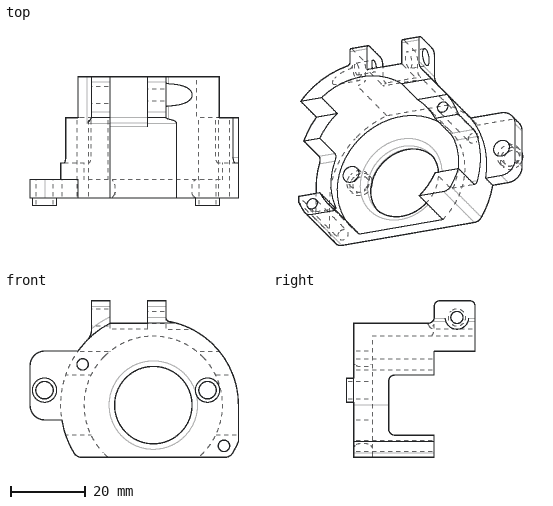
import cadquery as cq
import math


left_radius = 24.8
right_radius = 22.8
base_z = -14.0
flat_top_z = 21.94
base_corner_radius = 2.4
body_depth = 21.5
total_depth = 32.5
tail_bottom_z = 14.4

wall_thickness = 5.0
bore_radius = 20.67 / 2
bore_rim_radius = 1.5
cavity_radius = 18.5

window_front_y = 9.4
window_half_height = 8.0
window_corner_radius = 1.5

flange_left_x = -33.0
flange_bottom_z = -4.0
flange_top_z = 14.5
flange_corner_radius = 4.0

pin_spacing = 43.6
pin_middle_x = -7.3
pin_z = 4.0
pin_diameter = 6.5
pin_length = 2.0
pin_hole_diameter = 4.6
small_hole_diameter = 3.0
small_hole_x = 18.9
small_hole_z = 10.9

lug_width = 5.0
lug_gap = 10.0
lug_height = 6.0
lug_top_z = flat_top_z + lug_height
lug_corner_radius = 1.5
lug_root_radius = 1.5
lug_overlap = 1.0
left_flare_radius = 4.0
right_flare_radius = 0.8
lug_hole_y = 27.6
lug_hole_z = 23.44
left_lug_hole_diameter = 4.6
right_lug_hole_diameter = 3.2
screw_head_diameter = 6.3

slot_floor_z = 20.35
slot_inner_radius = 1.5
slot_edge_radius = 1.0


def on_circle(radius, offset):
    """Other coordinate of a point on a bore-centred circle, given one coordinate."""
    return math.sqrt(radius**2 - offset**2)


flat_left_x = -on_circle(left_radius, flat_top_z)
slot_left_x = flat_left_x
slot_right_x = slot_left_x + lug_gap
left_lug_x = slot_left_x - lug_width
right_lug_x = slot_right_x + lug_width
pin_xs = [pin_middle_x - pin_spacing / 2, pin_middle_x + pin_spacing / 2]

far = 2 * total_depth


def box(x0, x1, y0, y1, z0, z1):
    return cq.Workplane("XY").box(x1 - x0, y1 - y0, z1 - z0, centered=False).translate((x0, y0, z0))


def along_y(profile, y0, y1):
    """Extrude a profile drawn in X and Z from y0 to y1."""
    return profile.extrude(y0 - y1).translate((0, y0, 0))


def cylinder_y(x, z, radius, y0, y1):
    return along_y(cq.Workplane("XZ").center(x, z).circle(radius), y0, y1)


def cylinder_x(y, z, radius, x0, x1):
    return cq.Workplane("YZ").center(y, z).circle(radius).extrude(x1 - x0).translate((x0, 0, 0))


def make_lower_body():
    """Body below the bore axis: round flanks, a straight right side and a flat base."""
    disc = cylinder_y(0, 0, left_radius, 0, body_depth)
    blank = disc.intersect(box(-far, right_radius, 0, body_depth, base_z, 0))
    return blank.faces("<Z").edges("|Y").fillet(base_corner_radius)


def make_upper_body():
    """Crown of the body and its narrower tail, left and right with different radii."""
    left = cylinder_y(0, 0, left_radius, 0, total_depth).intersect(box(-far, 0, 0, far, 0, far))
    right = cylinder_y(0, 0, right_radius, 0, total_depth).intersect(box(0, far, 0, far, 0, far))
    below_tail = box(-far, far, body_depth, far, -far, tail_bottom_z)
    return left.union(right).cut(below_tail)


def front_clearance_profile(floor):
    """Y-Z region ahead of the lugs and above a floor, rounded where it meets the lug roots."""
    return (
        cq.Workplane("YZ")
        .moveTo(0, floor)
        .lineTo(body_depth - lug_root_radius, floor)
        .radiusArc((body_depth, floor + lug_root_radius), -lug_root_radius)
        .lineTo(body_depth, far)
        .lineTo(0, far)
        .close()
    )


def make_flat_clearance():
    """Clears the flat top ahead of the lugs."""
    profile = front_clearance_profile(flat_top_z)
    return profile.extrude(far).translate((flat_left_x, 0, 0))


def make_round_clearance():
    """Clears the round left shoulder ahead of the left lug."""
    return front_clearance_profile(left_radius).revolve(360, (0, 0, 0), (1, 0, 0))


def make_lug(inner_x, outer_x, crown_radius, flare_radius):
    """Lug on the +X side whose outer face flares into the round crown."""
    flare_x = outer_x + flare_radius
    flare_z = on_circle(crown_radius + flare_radius, flare_x)
    toe_scale = crown_radius / (crown_radius + flare_radius)
    toe_x = flare_x * toe_scale
    toe_z = flare_z * toe_scale
    profile = (
        cq.Workplane("XZ")
        .moveTo(inner_x, lug_top_z)
        .lineTo(outer_x, lug_top_z)
        .lineTo(outer_x, flare_z)
        .radiusArc((toe_x, toe_z), -flare_radius)
        .lineTo(inner_x, on_circle(crown_radius, outer_x) - lug_overlap)
        .close()
    )
    return along_y(profile, body_depth - lug_root_radius, total_depth)


def round_lug_top(lug):
    return lug.faces(">Z").edges("|X").fillet(lug_corner_radius)


def make_slot():
    """Floor between the lugs with a rounded rise up to the flat top."""
    rise_angle = math.acos(1 - (flat_top_z - slot_floor_z) / (slot_inner_radius + slot_edge_radius))
    joint_y = body_depth - slot_inner_radius * math.sin(rise_angle)
    joint_z = slot_floor_z + slot_inner_radius * (1 - math.cos(rise_angle))
    edge_y = joint_y - slot_edge_radius * math.sin(rise_angle)
    profile = (
        cq.Workplane("YZ")
        .moveTo(edge_y, flat_top_z)
        .radiusArc((joint_y, joint_z), slot_edge_radius)
        .radiusArc((body_depth, slot_floor_z), -slot_inner_radius)
        .lineTo(far, slot_floor_z)
        .lineTo(far, far)
        .lineTo(edge_y, far)
        .close()
    )
    return profile.extrude(lug_gap).translate((slot_left_x, 0, 0))


def make_flange():
    flange = box(flange_left_x, 0, 0, wall_thickness, flange_bottom_z, flange_top_z)
    return flange.edges("|Y and <X").fillet(flange_corner_radius)


def make_bore():
    """Bore through the front wall with both rims rounded."""
    rim_radius = bore_radius + bore_rim_radius
    profile = (
        cq.Workplane("XY")
        .lineTo(rim_radius, 0)
        .radiusArc((bore_radius, bore_rim_radius), bore_rim_radius)
        .lineTo(bore_radius, wall_thickness - bore_rim_radius)
        .radiusArc((rim_radius, wall_thickness), bore_rim_radius)
        .lineTo(0, wall_thickness)
        .close()
    )
    return profile.revolve(360, (0, 0, 0), (0, 1, 0))


def make_side_window():
    window = box(-far, far, window_front_y, far, -window_half_height, window_half_height)
    return window.edges("|X and <Y").fillet(window_corner_radius)


left_lug = make_lug(-slot_left_x, -left_lug_x, left_radius, left_flare_radius).mirror("YZ")
left_lug = round_lug_top(left_lug.cut(make_round_clearance()))
flat_clearance = make_flat_clearance()
right_lug = make_lug(slot_right_x, right_lug_x, right_radius, right_flare_radius)
right_lug = round_lug_top(right_lug.cut(flat_clearance))

result = make_upper_body().cut(flat_clearance).union(make_lower_body())
result = result.union(left_lug).union(right_lug).union(make_flange())
for pin_x in pin_xs:
    result = result.union(cylinder_y(pin_x, pin_z, pin_diameter / 2, -pin_length, wall_thickness))

result = result.cut(cylinder_y(0, 0, cavity_radius, wall_thickness, far))
result = result.cut(make_bore())
result = result.cut(make_side_window())
result = result.cut(make_slot())

for pin_x in pin_xs:
    result = result.cut(cylinder_y(pin_x, pin_z, pin_hole_diameter / 2, -pin_length, far))
for side in (-1, 1):
    hole_x = side * small_hole_x
    hole_z = -side * small_hole_z
    result = result.cut(cylinder_y(hole_x, hole_z, small_hole_diameter / 2, 0, far))

lug_holes = [
    (left_lug_hole_diameter, -far, slot_left_x),
    (right_lug_hole_diameter, slot_right_x, right_lug_x),
    (screw_head_diameter, right_lug_x, far),
]
for diameter, start_x, end_x in lug_holes:
    result = result.cut(cylinder_x(lug_hole_y, lug_hole_z, diameter / 2, start_x, end_x))